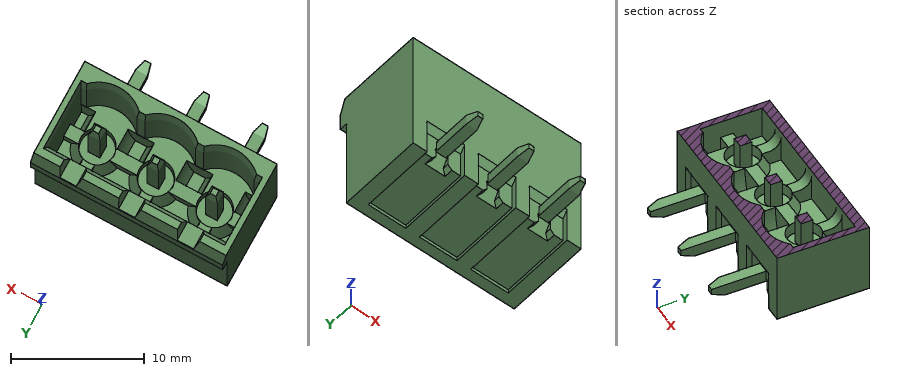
import cadquery as cq
import math

width = 16.4
body_depth = 7.79
height = 12.0
pitch = 5.0
pin_places = [-pitch, 0.0, pitch]

lip_reach = 0.7
lip_height = 3.0
lip_chamfer_depth = 0.52
lip_chamfer_height = 1.4
rear_face = body_depth + lip_reach

pin_size = 1.0
pin_tip_size = 0.5
pin_taper = 1.0
pin_axis_y = 3.9
pin_axis_z = 2.0
pin_top = 10.8
pin_reach = 4.0

mouth_depth = 1.3
mouth_half_width = 7.72
mouth_front = 1.43
mouth_rear = 7.33
cavity_half_width = 7.6
cavity_front = 1.67
cavity_rear = 6.85
scallop_axis_y = 3.74
scallop_mouth_radius = 3.21
scallop_radius = 2.98
cavity_floor = 4.51

rear_recess_depth = 1.23
front_recess_depth = 2.79
bridge_rear = 4.41
bridge_front = 3.36
recess_front = 1.64
seat_radius = 1.4
collar_radius = 2.03
flank_width = 0.6
rib_fillet = 1.0

well_radius = 1.41
well_bottom_radius = 1.36
well_depth = 0.98

notch_floor_width = 1.4
notch_top_width = 1.89

pocket_width = 3.65
pocket_depth = 0.48
pocket_front_height = 3.48
pocket_rear_height = 2.82
underside_recess = 0.36
slot_width = 1.18
slot_foot_width = 1.95
slot_flare_start = 0.77
slot_top = 1.69
slot_run = 0.79


def box(x_min, x_max, y_min, y_max, z_min, z_max):
    """Axis-aligned block between the given limits."""
    size = (x_max - x_min, y_max - y_min, z_max - z_min)
    return cq.Workplane("XY").box(*size, centered=False).translate((x_min, y_min, z_min))


def side_profile(points, x_centre, x_width):
    """Closed (Y, Z) outline extruded evenly about x_centre."""
    outline = cq.Workplane("YZ").polyline(points).close()
    return outline.extrude(x_width / 2, both=True).translate((x_centre, 0, 0))


def frustum(x, y, z_bottom, bottom_radius, z_top, top_radius):
    """Vertical cone frustum standing at (x, y)."""
    base = cq.Workplane("XY", origin=(x, y, z_bottom)).circle(bottom_radius)
    return base.workplane(offset=z_top - z_bottom).circle(top_radius).loft(ruled=True)


def make_housing():
    return side_profile(
        [
            (0, 0),
            (body_depth, 0),
            (body_depth, height - lip_height),
            (rear_face, height - lip_height),
            (rear_face, height - lip_chamfer_height),
            (rear_face - lip_chamfer_depth, height),
            (0, height),
        ],
        0,
        width,
    )


def make_cavity():
    shoulder = height - mouth_depth
    lower = box(-cavity_half_width, cavity_half_width, cavity_front, cavity_rear, cavity_floor, shoulder)
    mouth = (
        cq.Workplane("XY", origin=(0, (cavity_front + cavity_rear) / 2, shoulder))
        .rect(2 * cavity_half_width, cavity_rear - cavity_front)
        .workplane(offset=mouth_depth)
        .center(0, (mouth_front + mouth_rear - cavity_front - cavity_rear) / 2)
        .rect(2 * mouth_half_width, mouth_rear - mouth_front)
        .loft(ruled=True)
    )
    cavity = lower.union(mouth)
    front_zone = box(-width / 2, width / 2, 0, cavity_front, cavity_floor, height)
    for x in pin_places:
        scallop = frustum(x, scallop_axis_y, cavity_floor, scallop_radius, shoulder, scallop_radius)
        mouth_scallop = frustum(x, scallop_axis_y, shoulder, scallop_radius, height, scallop_mouth_radius)
        scallop = scallop.union(mouth_scallop)
        cavity = cavity.union(scallop.intersect(front_zone))
    return cavity


def make_rear_recess():
    bottom = cavity_floor - rear_recess_depth
    recess = box(-cavity_half_width, cavity_half_width, bridge_rear, cavity_rear, bottom, cavity_floor)
    for x in pin_places:
        recess = recess.cut(frustum(x, pin_axis_y, bottom, collar_radius, cavity_floor, seat_radius))
        recess = recess.cut(
            box(x - pin_size / 2, x + pin_size / 2, bridge_rear, cavity_rear, bottom, cavity_floor)
        )
    return recess


def make_front_recess():
    bottom = cavity_floor - front_recess_depth
    recess = box(-cavity_half_width, cavity_half_width, recess_front, bridge_front, bottom, cavity_floor)
    foot = seat_radius + flank_width
    flank_radius = (flank_width**2 + front_recess_depth**2) / (2 * flank_width)
    half_angle = math.asin(front_recess_depth / flank_radius) / 2
    mid = (
        seat_radius + flank_radius * (1 - math.cos(half_angle)),
        cavity_floor - flank_radius * math.sin(half_angle),
    )
    for x in pin_places:
        seat = (
            cq.Workplane("XZ")
            .moveTo(-seat_radius, cavity_floor)
            .lineTo(seat_radius, cavity_floor)
            .threePointArc(mid, (foot, bottom))
            .lineTo(-foot, bottom)
            .threePointArc((-mid[0], mid[1]), (-seat_radius, cavity_floor))
            .close()
            .extrude(-body_depth)
        )
        recess = recess.cut(seat.translate((x, 0, 0)))
    return recess


def make_rib_fillet(x):
    """Concave web joining the cavity floor to the rear wall behind a pin."""
    block = box(
        x - pin_size / 2, x + pin_size / 2,
        cavity_rear - rib_fillet, cavity_rear,
        cavity_floor, cavity_floor + rib_fillet,
    )
    hollow = (
        cq.Workplane("YZ", origin=(-width / 2, 0, 0))
        .center(cavity_rear - rib_fillet, cavity_floor + rib_fillet)
        .circle(rib_fillet)
        .extrude(width)
    )
    return block.cut(hollow)


def make_notch(x):
    floor = height - mouth_depth
    outline = [
        (-notch_floor_width / 2, floor),
        (notch_floor_width / 2, floor),
        (notch_top_width / 2, height),
        (-notch_top_width / 2, height),
    ]
    notch = cq.Workplane("XZ").polyline(outline).close().extrude(cavity_rear - rear_face)
    return notch.translate((x, cavity_rear, 0))


def make_pocket(x):
    pocket = side_profile(
        [(0, 0), (pocket_depth, 0), (pocket_depth, pocket_rear_height), (0, pocket_front_height)],
        x,
        pocket_width,
    )
    half = pocket_width / 2
    pocket = pocket.union(box(x - half, x + half, 0, cavity_rear, 0, underside_recess))
    slot_outline = [
        (-slot_foot_width / 2, 0),
        (-slot_foot_width / 2, underside_recess),
        (-slot_width / 2, slot_flare_start),
        (-slot_width / 2, slot_top),
        (slot_width / 2, slot_top),
        (slot_width / 2, slot_flare_start),
        (slot_foot_width / 2, underside_recess),
        (slot_foot_width / 2, 0),
    ]
    slot = cq.Workplane("XZ").polyline(slot_outline).close().extrude(-body_depth)
    slope = side_profile(
        [
            (pocket_depth, 0),
            (pocket_depth + slot_run, underside_recess),
            (pocket_depth, slot_top),
        ],
        0,
        pocket_width,
    )
    return pocket.union(slot.intersect(slope).translate((x, 0, 0)))


def make_pin_leg(length):
    """Square leg along +Z from the origin, ending in a tapered tip."""
    shank = cq.Workplane("XY").rect(pin_size, pin_size).extrude(length - pin_taper)
    tip = (
        cq.Workplane("XY", origin=(0, 0, length - pin_taper))
        .rect(pin_size, pin_size)
        .workplane(offset=pin_taper)
        .rect(pin_tip_size, pin_tip_size)
        .loft(ruled=True)
    )
    return shank.union(tip)


def make_pin(x):
    upright = make_pin_leg(pin_top - pin_axis_z).translate((x, pin_axis_y, pin_axis_z))
    tail = make_pin_leg(pin_axis_y + pin_reach).rotate((0, 0, 0), (1, 0, 0), 90)
    return upright.union(tail.translate((x, pin_axis_y, pin_axis_z)))


result = make_housing().cut(make_cavity()).cut(make_rear_recess()).cut(make_front_recess())
for x in pin_places:
    well = frustum(x, pin_axis_y, cavity_floor - well_depth, well_bottom_radius, cavity_floor, well_radius)
    result = result.union(make_rib_fillet(x)).cut(well)
    result = result.cut(make_notch(x)).cut(make_pocket(x))
for x in pin_places:
    result = result.union(make_pin(x))